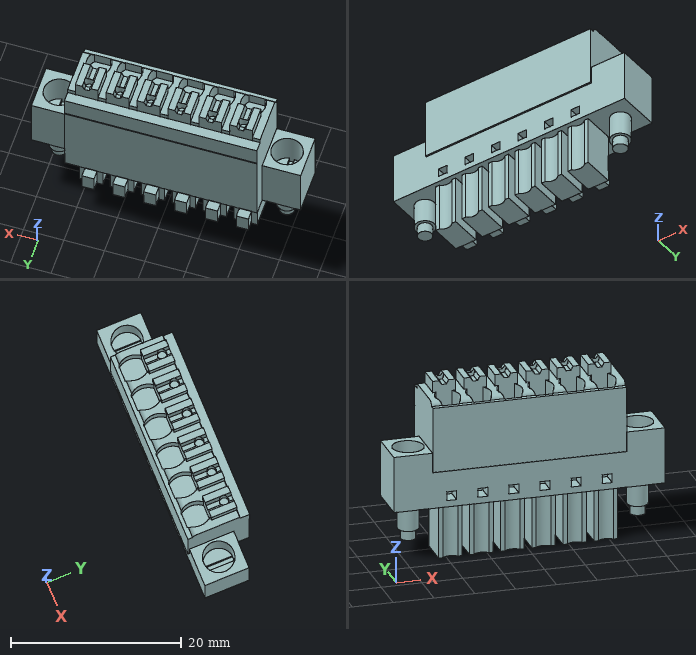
import cadquery as cq


pole_count = 6
pole_pitch = 3.81
pole_xs = [(i - (pole_count - 1) / 2) * pole_pitch for i in range(pole_count)]

base_bottom = 6.65
flange_top = base_bottom + 7.0
shell_bottom = 11.25
lip_bottom = 16.75
shoulder_top = 19.4
body_top = 20.0
lever_top = 21.4

body_width = 23.75
body_depth = 7.6
shell_thickness = 0.2
rear_lip_thickness = 0.1
raised_front = 0.4
raised_rear = 6.45
raised_edge_radius = 0.7

flange_width = 33.25
flange_depth = 5.65
screw_x = 14.05
screw_y = flange_depth / 2

head_diameter = 3.8
head_top = base_bottom + 3.0
head_height = 2.0
head_bottom = head_top - head_height
slot_width = 0.6
slot_depth = 0.6
shank_diameter = 2.6
shank_bottom = 3.4
tip_diameter = 1.85
tip_bottom = 2.1

funnel_floor = 18.0
funnel_front = 0.29
funnel_middle_width = 3.0
funnel_end_width = 1.96

lever_width = 2.8
lever_front = 3.2
lever_bottom = funnel_floor
notch_top_width = 1.1
notch_floor_width = 0.56
notch_depth = 0.5
lever_hole_diameter = 1.15
lever_hole_y = 5.4
lever_hole_depth = 1.5

window_width = 1.2
window_height = 1.1
window_bottom = 7.45
window_depth = 2.0

peg_width = 2.9
peg_front = 0.6
peg_rear = 4.73
peg_groove_width = 1.83
peg_groove_depth = 0.4
tab_width = 1.5
tab_rear = 5.95
tab_bottom = 0.3
tab_top = 2.5


def block(width, y_front, y_rear, z_bottom, z_top, x_centre=0):
    """Box centred on x_centre, given by its front, rear, bottom and top planes."""
    box = cq.Workplane("XY").box(width, y_rear - y_front, z_top - z_bottom, centered=(True, False, False))
    return box.translate((x_centre, y_front, z_bottom))


def cylinder(diameter, x, y, z_bottom, z_top):
    """Vertical cylinder between two heights."""
    return cq.Workplane("XY", origin=(x, y, z_bottom)).circle(diameter / 2).extrude(z_top - z_bottom)


def make_raised_top():
    """Raised strip that carries the levers, with its front edge rounded before it meets the shoulder."""
    strip = block(body_width, raised_front, raised_rear, base_bottom, body_top)
    return strip.edges(">Z and <Y").fillet(raised_edge_radius)


def make_peg(x):
    """Contact peg with a shallow round groove down its front and a tab low on its rear."""
    half_groove = peg_groove_width / 2
    peg = (
        cq.Workplane("XY")
        .moveTo(x - peg_width / 2, peg_front)
        .lineTo(x - half_groove, peg_front)
        .threePointArc((x, peg_front + peg_groove_depth), (x + half_groove, peg_front))
        .lineTo(x + peg_width / 2, peg_front)
        .lineTo(x + peg_width / 2, peg_rear)
        .lineTo(x - peg_width / 2, peg_rear)
        .close()
        .extrude(base_bottom)
    )
    return peg.union(block(tab_width, peg_rear, tab_rear, tab_bottom, tab_top, x))


def make_funnel(x):
    """Cutter for a wire entry: two bowed sides between flat ends, the rear one on the lever face."""
    half_middle = funnel_middle_width / 2
    half_end = funnel_end_width / 2
    middle_y = (funnel_front + lever_front) / 2
    return (
        cq.Workplane("XY", origin=(x, 0, funnel_floor))
        .moveTo(-half_end, funnel_front)
        .lineTo(half_end, funnel_front)
        .threePointArc((half_middle, middle_y), (half_end, lever_front))
        .lineTo(-half_end, lever_front)
        .threePointArc((-half_middle, middle_y), (-half_end, funnel_front))
        .close()
        .extrude(body_top - funnel_floor)
    )


def make_lever_blank(x):
    """Outer block of a lever, which is also the shape of the pocket it sits in."""
    return block(lever_width, lever_front, raised_rear, lever_bottom, lever_top, x)


def make_lever(x):
    """Release lever with a tapered notch across its top and a blind hole in the notch."""
    notch_floor = lever_top - notch_depth
    notch = (
        cq.Workplane("XZ", origin=(x, lever_front, 0))
        .moveTo(-notch_top_width / 2, lever_top)
        .lineTo(-notch_floor_width / 2, notch_floor)
        .lineTo(notch_floor_width / 2, notch_floor)
        .lineTo(notch_top_width / 2, lever_top)
        .close()
        .extrude(lever_front - raised_rear)
    )
    hole = cylinder(lever_hole_diameter, x, lever_hole_y, lever_top - lever_hole_depth, lever_top)
    return make_lever_blank(x).cut(notch).cut(hole)


def make_screw_body(x):
    """Head, shank and tip of a flange screw, which is also the shape of its hole."""
    head = cylinder(head_diameter, x, screw_y, head_bottom, head_top)
    shank = cylinder(shank_diameter, x, screw_y, shank_bottom, head_bottom)
    tip = cylinder(tip_diameter, x, screw_y, tip_bottom, shank_bottom)
    return head.union(shank).union(tip)


def make_screw(x):
    """Flange screw with a driver slot along Y across its head."""
    slot_front = screw_y - head_diameter / 2
    slot_rear = screw_y + head_diameter / 2
    slot = block(slot_width, slot_front, slot_rear, head_top - slot_depth, head_top, x)
    return make_screw_body(x).cut(slot)


def make_housing():
    """Housing with its flanges, pegs, wire funnels, windows, lever pockets and screw holes."""
    housing = block(body_width, 0, body_depth, base_bottom, shoulder_top)
    housing = housing.union(block(body_width, -shell_thickness, 0, shell_bottom, shoulder_top))
    rear_lip = block(body_width, body_depth, body_depth + rear_lip_thickness, lip_bottom, shoulder_top)
    housing = housing.union(rear_lip)
    housing = housing.union(make_raised_top())
    housing = housing.union(block(flange_width, 0, flange_depth, base_bottom, flange_top))

    for x in pole_xs:
        window = block(window_width, 0, window_depth, window_bottom, window_bottom + window_height, x)
        housing = housing.union(make_peg(x))
        housing = housing.cut(make_funnel(x)).cut(make_lever_blank(x)).cut(window)

    for x in (-screw_x, screw_x):
        head_bore = cylinder(head_diameter, x, screw_y, head_bottom, flange_top)
        housing = housing.cut(make_screw_body(x)).cut(head_bore)
    return housing


housing = make_housing()
levers = [make_lever(x) for x in pole_xs]
screws = [make_screw(x) for x in (-screw_x, screw_x)]

result = cq.Compound.makeCompound(
    [
        housing.val(),
        *[lever.val() for lever in levers],
        *[screw.val() for screw in screws],
    ]
)